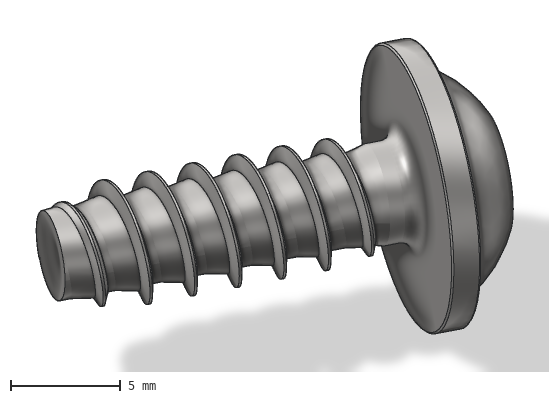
import cadquery as cq
import math

total_length = 21.2

flange_diameter = 13.5
flange_radius = flange_diameter / 2
flange_thickness = 1.4
flange_chamfer = 0.08
dome_height = 2.75
dome_base_radius = 5.62
dome_mid_radius = 4.73
dome_top_radius = 3.03
head_height = flange_thickness + dome_height

tip_depth = total_length - head_height
neck_radius = 2.37
neck_length = 1.53
neck_fillet = 0.8
neck_taper_length = 0.91
core_radius = 2.15
tip_radius = 2.08
dish_radius = 2.0
dish_depth = 0.32

pitch = 2.15
crest_radius = 2.99
crest_half_width = 0.06
root_half_width = 0.32
shoulder_radius = 2.31
root_radius = 2.2
relief_end = 1.7
relief_end_radius = 2.04
buried_radius = 2.01
thread_start = 1.48
thread_start_angle = math.pi
thread_turns = 7.1
fade_in_turns = 1.0
fade_out_turns = 1.2
start_height = 0.5
end_height = 0.05
points_per_turn = 24

thread_section = [
    (-root_half_width, buried_radius),
    (-root_half_width, root_radius),
    (-crest_half_width, crest_radius),
    (crest_half_width, crest_radius),
    (root_half_width, shoulder_radius),
    (relief_end, relief_end_radius),
    (relief_end, buried_radius),
]


def make_body():
    """Head, neck and core, revolved about the Y axis."""
    flange_rim = flange_radius - flange_chamfer
    profile = (
        cq.Workplane("XY")
        .moveTo(0, head_height)
        .lineTo(dome_top_radius, head_height)
        .threePointArc(
            (dome_mid_radius, flange_thickness + dome_height / 2),
            (dome_base_radius, flange_thickness),
        )
        .lineTo(flange_rim, flange_thickness)
        .lineTo(flange_radius, flange_thickness - flange_chamfer)
        .lineTo(flange_radius, flange_chamfer)
        .lineTo(flange_rim, 0)
        .lineTo(neck_radius + neck_fillet, 0)
        .radiusArc((neck_radius, -neck_fillet), -neck_fillet)
        .lineTo(neck_radius, -neck_length)
        .lineTo(core_radius, -neck_length - neck_taper_length)
        .lineTo(tip_radius, -tip_depth)
        .lineTo(dish_radius, -tip_depth)
        .lineTo(0, -tip_depth + dish_depth)
        .close()
    )
    return profile.revolve(360, (0, 0, 0), (0, 1, 0))


def thread_height(turn):
    """Fraction of the full thread height at a number of turns from the start."""
    fade_in = start_height + (1 - start_height) * turn / fade_in_turns
    fade_out = end_height + (1 - end_height) * (thread_turns - turn) / fade_out_turns
    return min(1, fade_in, fade_out)


def thread_point(turn, offset, full_radius):
    """Point on one corner of the thread section; the buried corners never fade."""
    radius = full_radius
    if full_radius > core_radius:
        radius = core_radius + (full_radius - core_radius) * thread_height(turn)
    angle = thread_start_angle + 2 * math.pi * turn
    depth = thread_start + pitch * turn + offset
    return cq.Vector(radius * math.cos(angle), -depth, radius * math.sin(angle))


def make_thread_segment(first_turn, last_turn):
    """Solid bounded by ruled strips between helical rails and a flat cap at each end."""
    span = last_turn - first_turn
    steps = math.ceil(span * points_per_turn)
    turns = [first_turn + span * step / steps for step in range(steps + 1)]
    rails = [
        cq.Edge.makeSpline([thread_point(turn, *corner) for turn in turns])
        for corner in thread_section
    ]
    faces = [
        cq.Face.makeRuledSurface(rail, next_rail)
        for rail, next_rail in zip(rails, rails[1:] + rails[:1])
    ]
    for turn in (first_turn, last_turn):
        corners = [thread_point(turn, *corner) for corner in thread_section]
        faces.append(cq.Face.makeFromWires(cq.Wire.makePolygon(corners, close=True)))
    segment = cq.Solid.makeSolid(cq.Shell.makeShell(faces))
    return cq.Workplane(segment.fix())


def make_space_beyond_tip():
    """Disc just past the tip plane, deep enough to hold the thread's overrun."""
    disc = cq.Workplane("XZ").workplane(offset=tip_depth).circle(flange_radius)
    return disc.extrude(pitch)


fade_out_start = thread_turns - fade_out_turns
full_turns = fade_out_start - fade_in_turns
full_segments = math.ceil(full_turns)
segment_ends = [
    fade_in_turns + full_turns * index / full_segments for index in range(full_segments + 1)
]
segment_ends = [0] + segment_ends + [thread_turns]

result = make_body()
for first_turn, last_turn in zip(segment_ends, segment_ends[1:]):
    result = result.union(make_thread_segment(first_turn, last_turn))
result = result.cut(make_space_beyond_tip())